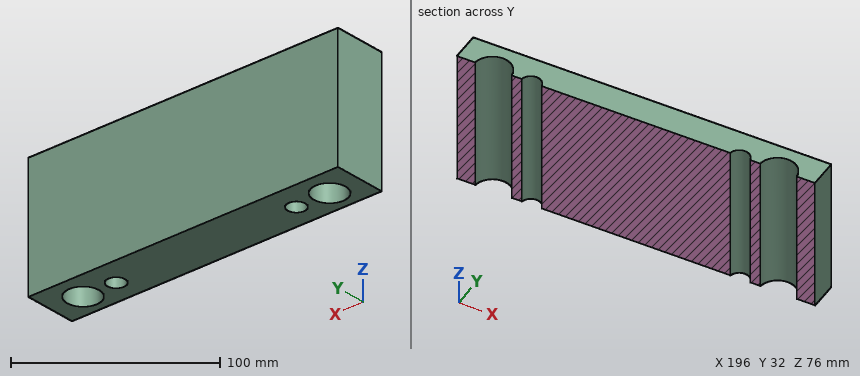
import cadquery as cq

length = 196.0
thickness = 32.0
height = 76.0

large_diameter = 20.0
large_spacing = 156.0
small_diameter = 11.0
small_spacing = 114.0
hole_row_y = -1.0


def drill_pair(body, diameter, spacing):
    """Drill two vertical through holes, symmetric along X."""
    centers = [(-spacing / 2, hole_row_y), (spacing / 2, hole_row_y)]
    cutters = (
        cq.Workplane("XY")
        .workplane(offset=-height / 2)
        .pushPoints(centers)
        .circle(diameter / 2)
        .extrude(height)
    )
    return body.cut(cutters)


block = cq.Workplane("XY").box(length, thickness, height)
block = drill_pair(block, large_diameter, large_spacing)
result = drill_pair(block, small_diameter, small_spacing)